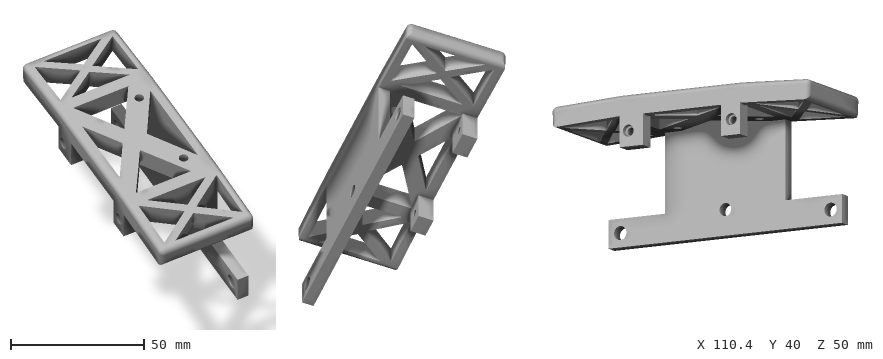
import cadquery as cq
import math

depth = 40.0
total_height = 50.0
overall_length = 110.4

center_half = 25.75
deck_thickness = 8.05
wing_angle = 3.0
edge_radius = 2.0

wall_thickness = 4.6
flange_length = 100.0
flange_height = 11.0
flange_hole_spacing = 90.0
flange_hole_z = 5.5
flange_hole_diameter = 5.3
center_hole_z = 10.0
center_hole_diameter = 5.0

tab_depth = 6.0
tab_bottom_z = 30.0
left_tab_width = 10.0
right_tab_width = 8.0
tab_hole_x = 22.0
tab_hole_z = 36.0
tab_hole_diameter = 3.0
tab_counterbore_diameter = 4.6
tab_counterbore_depth = 2.0

deck_hole_x = 17.5
deck_hole_y = 30.0
deck_hole_diameter = 3.6

center_rear_base_y = depth - wall_thickness
center_rear_half_base = 18.8
center_rear_apex_y = 23.8
center_front_base_y = 4.2
center_front_half_base = 14.8
center_front_apex_y = 13.5
center_side_base_x = 24.75
center_side_half_base = 11.75
center_side_apex_x = 6.15
center_side_y = 17.5

wing_window_x = 41.0
wing_window_y = 20.2
wing_end_base_offset = 16.6
wing_end_half_base = 10.2
wing_end_apex_offset = 2.5
wing_side_base_offset = 11.15
wing_side_half_base = 12.4
wing_side_apex_offset = 2.3

slope = math.radians(wing_angle)
deck_bottom_z = total_height - deck_thickness


def make_deck():
    """Three-panel deck with rounded upper edges and rounded ends."""
    corner_overhang = edge_radius * (math.cos(slope) + math.sin(slope) - 1)
    top_end_x = overall_length / 2 + corner_overhang
    top_end_z = total_height - (top_end_x - center_half) * math.tan(slope)
    bottom_end_x = top_end_x - deck_thickness * math.sin(slope)
    bottom_end_z = top_end_z - deck_thickness * math.cos(slope)
    bottom_bend_x = center_half - deck_thickness * math.tan(slope / 2)
    outline = [
        (-center_half, total_height),
        (center_half, total_height),
        (top_end_x, top_end_z),
        (bottom_end_x, bottom_end_z),
        (bottom_bend_x, deck_bottom_z),
        (-bottom_bend_x, deck_bottom_z),
        (-bottom_end_x, bottom_end_z),
        (-top_end_x, top_end_z),
    ]
    deck = cq.Workplane("XZ").polyline(outline).close().extrude(-depth)
    upward = math.cos(2 * slope)
    end_edges = deck.faces("<X or >X").edges().vals()
    upper_faces = [face for face in deck.faces().vals() if face.normalAt().z > upward]
    long_top_edges = deck.newObject(upper_faces).edges("not |Y").vals()
    return deck.newObject(end_edges + long_top_edges).fillet(edge_radius)


def make_rear_wall():
    """Upright wall with a wider flange along its bottom."""
    wall_y = depth - wall_thickness
    wall = cq.Workplane("XY").box(
        2 * center_half, wall_thickness, deck_bottom_z, centered=(True, False, False)
    )
    flange = cq.Workplane("XY").box(
        flange_length, wall_thickness, flange_height, centered=(True, False, False)
    )
    return wall.union(flange).translate((0, wall_y, 0))


def make_tab(width, left_x):
    """Block under the front edge of the deck."""
    height = deck_bottom_z - tab_bottom_z
    tab = cq.Workplane("XY").box(width, tab_depth, height, centered=False)
    return tab.translate((left_x, 0, tab_bottom_z))


def bore_y(x, z, diameter, start_y, length):
    """Round cutter running toward +Y."""
    return cq.Workplane("XZ", origin=(x, start_y, z)).circle(diameter / 2).extrude(-length)


def window(points):
    """Vertical cutter tall enough for the flat panel and the drooping wings."""
    bottom_z = deck_bottom_z - deck_thickness
    height = 2 * deck_thickness
    return cq.Workplane("XY").workplane(offset=bottom_z).polyline(points).close().extrude(height)


def window_along_x(center_x, half_base, base_y, apex_y):
    """Triangular window whose base runs along X."""
    return window([(center_x - half_base, base_y), (center_x + half_base, base_y), (center_x, apex_y)])


def window_along_y(center_y, half_base, base_x, apex_x):
    """Triangular window whose base runs along Y."""
    return window([(base_x, center_y - half_base), (base_x, center_y + half_base), (apex_x, center_y)])


def cut_center_windows(body):
    """Four triangles that leave an X of diagonal bars, thicker toward the rear."""
    body = body.cut(window_along_x(0, center_rear_half_base, center_rear_base_y, center_rear_apex_y))
    body = body.cut(window_along_x(0, center_front_half_base, center_front_base_y, center_front_apex_y))
    for side in (-1, 1):
        body = body.cut(
            window_along_y(
                center_side_y, center_side_half_base, side * center_side_base_x, side * center_side_apex_x
            )
        )
    return body


def cut_wing_windows(body, center_x):
    """Four triangles that leave an evenly sized X in one wing."""
    for side in (-1, 1):
        base_y = wing_window_y + side * wing_end_base_offset
        apex_y = wing_window_y + side * wing_end_apex_offset
        body = body.cut(window_along_x(center_x, wing_end_half_base, base_y, apex_y))
        base_x = center_x + side * wing_side_base_offset
        apex_x = center_x + side * wing_side_apex_offset
        body = body.cut(window_along_y(wing_window_y, wing_side_half_base, base_x, apex_x))
    return body


def cut_tab_holes(body):
    """Through hole with a shallow front counterbore in each tab."""
    for x in (-tab_hole_x, tab_hole_x):
        body = body.cut(bore_y(x, tab_hole_z, tab_hole_diameter, 0, tab_depth))
        body = body.cut(bore_y(x, tab_hole_z, tab_counterbore_diameter, 0, tab_counterbore_depth))
    return body


def cut_wall_holes(body):
    """Mounting holes at the flange ends and the middle of the rear wall."""
    wall_y = depth - wall_thickness
    for x in (-flange_hole_spacing / 2, flange_hole_spacing / 2):
        body = body.cut(bore_y(x, flange_hole_z, flange_hole_diameter, wall_y, wall_thickness))
    return body.cut(bore_y(0, center_hole_z, center_hole_diameter, wall_y, wall_thickness))


def cut_deck_holes(body):
    """Vertical holes through the diagonal bars of the centre panel."""
    for x in (-deck_hole_x, deck_hole_x):
        hole = cq.Workplane("XY", origin=(x, deck_hole_y, deck_bottom_z))
        body = body.cut(hole.circle(deck_hole_diameter / 2).extrude(deck_thickness))
    return body


deck = cut_center_windows(make_deck())
for wing_x in (-wing_window_x, wing_window_x):
    deck = cut_wing_windows(deck, wing_x)
deck = cut_deck_holes(deck)

left_tab = make_tab(left_tab_width, -center_half)
right_tab = make_tab(right_tab_width, center_half - right_tab_width)
tabs = cut_tab_holes(left_tab.union(right_tab))
rear_wall = cut_wall_holes(make_rear_wall())

result = deck.union(rear_wall).union(tabs)